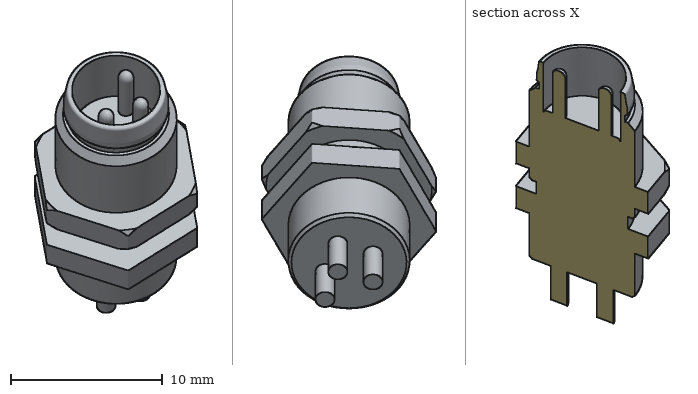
import cadquery as cq
import math

total_height = 21.0
body_bottom = 3.0
flange_bottom = 7.0
flange_top = 9.0
thread_bottom = 10.04
nut_bottom = 11.0
nut_top = 13.0
shoulder_top = 18.5
ring_bottom = 19.2
ring_top = 19.75

body_diameter = 8.0
undercut_diameter = 7.0
neck_diameter = 6.5
ring_diameter = 6.9
rim_diameter = 6.5
bore_diameter = 5.8

edge_chamfer = 0.2
rim_fillet = 0.19

floor_depth = 4.2
floor_fillet = 0.25

hex_across_flats = 10.0
hex_corner_fillet = 0.1
nut_face_diameter = 10.92
nut_chamfer = 0.42

contact_offset = 1.75
contact_positions = [(contact_offset, 0), (0, contact_offset), (0, -contact_offset)]
pin_diameter = 1.0
pin_tip_depth = 0.2
wire_diameter = 1.25


def make_body():
    """Turned body: lower barrel, undercut, threaded barrel, neck and tapered ring."""
    body_radius = body_diameter / 2
    undercut_radius = undercut_diameter / 2
    neck_radius = neck_diameter / 2
    ring_radius = ring_diameter / 2
    shoulder_chamfer = body_radius - undercut_radius
    ring_chamfer = ring_radius - neck_radius
    outline = [
        (0, body_bottom),
        (body_radius - edge_chamfer, body_bottom),
        (body_radius, body_bottom + edge_chamfer),
        (body_radius, flange_top),
        (undercut_radius, flange_top),
        (undercut_radius, thread_bottom),
        (body_radius - edge_chamfer, thread_bottom),
        (body_radius, thread_bottom + edge_chamfer),
        (body_radius, shoulder_top - shoulder_chamfer),
        (undercut_radius, shoulder_top),
        (neck_radius, shoulder_top),
        (neck_radius, ring_bottom - ring_chamfer),
        (ring_radius, ring_bottom),
        (ring_radius, ring_top),
        (rim_diameter / 2, total_height),
        (0, total_height),
    ]
    body = cq.Workplane("XZ").polyline(outline).close().revolve(360, (0, 0), (0, 1))
    return body.faces(">Z").edges().fillet(rim_fillet)


def make_bore():
    """Round socket bore, down to where the rounded floor edge meets its wall."""
    depth = floor_depth + floor_fillet
    return (
        cq.Workplane("XY")
        .workplane(offset=total_height - depth)
        .circle(bore_diameter / 2)
        .extrude(depth)
    )


def make_floor():
    """Insert with a rounded upper edge, embedded in the body down to the nut."""
    return (
        cq.Workplane("XY")
        .workplane(offset=nut_top)
        .circle(bore_diameter / 2)
        .extrude(total_height - floor_depth - nut_top)
        .faces(">Z")
        .edges()
        .fillet(floor_fillet)
    )


def make_hexagon(bottom, top):
    """Hexagonal prism with two flats facing -Y and +Y and slightly rounded corners."""
    across_corners = hex_across_flats / math.cos(math.pi / 6)
    return (
        cq.Workplane("XY")
        .workplane(offset=bottom)
        .polygon(6, across_corners)
        .extrude(top - bottom)
        .edges("|Z")
        .fillet(hex_corner_fillet)
    )


def make_nut():
    """Hexagon whose corners are turned off at 45 degrees on both faces."""
    envelope = (
        cq.Workplane("XY")
        .workplane(offset=nut_bottom)
        .circle(nut_face_diameter / 2 + nut_chamfer)
        .extrude(nut_top - nut_bottom)
        .edges()
        .chamfer(nut_chamfer)
    )
    return make_hexagon(nut_bottom, nut_top).intersect(envelope)


def make_pin(x, y):
    """Contact pin with a hemispherical tip, rooted below the socket floor."""
    root = total_height - floor_depth - floor_fillet
    tip_center = total_height - pin_tip_depth - pin_diameter / 2
    shank = (
        cq.Workplane("XY")
        .workplane(offset=root)
        .center(x, y)
        .circle(pin_diameter / 2)
        .extrude(tip_center - root)
    )
    tip = cq.Workplane("XY").sphere(pin_diameter / 2).translate((x, y, tip_center))
    return shank.union(tip)


def make_wire(x, y):
    """Straight wire end leaving the bottom of the body, embedded up to the flange."""
    return cq.Workplane("XY").center(x, y).circle(wire_diameter / 2).extrude(flange_bottom)


result = make_body().cut(make_bore())
result = result.union(make_floor())
result = result.union(make_hexagon(flange_bottom, flange_top))
result = result.union(make_nut())
for contact_x, contact_y in contact_positions:
    result = result.union(make_pin(contact_x, contact_y))
    result = result.union(make_wire(contact_x, contact_y))